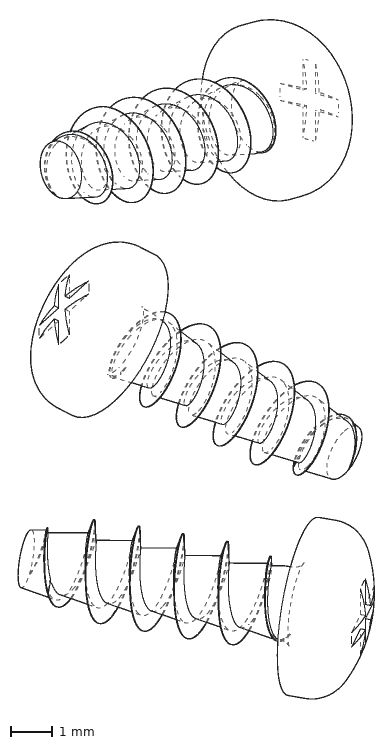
import cadquery as cq
import math


head_radius = 2.2
head_height = 1.682
rim_height = 0.47
rim_edge_radius = 0.04
shoulder_radius = 0.88
dome_radius = 3.73

slot_width = 0.43
slot_depth = 0.14

shank_length = 7.0
neck_radius = 0.9
neck_fillet = 0.4
neck_end = 0.61
core_radius = 0.69
tip_radius = 0.715
tip_cone_height = 0.02

pitch = 1.12
taper_slope = math.tan(math.radians(9.3))
taper_turns = 6
taper_sections = 3
taper_gap = 0.004
ridge_base_radius = 0.62

crest_start = 0.59
crest_radius = 1.25
crest_width = 0.02
flank_slope = math.tan(math.radians(14))
tooth_base_radius = 0.6
run_in_first_turn = -0.3
run_in_first_radius = 0.9
run_in_last_turn = 1.0
run_out_first_turn = 4.27
run_out_last_turn = 5.62
run_out_last_radius = 0.73
points_per_turn = 24


def make_head():
    """Domed head with a rounded shoulder, a straight rim and a rounded lower edge."""
    dome_center = head_height - dome_radius
    shoulder_center = head_radius - shoulder_radius
    join_angle = math.atan2(shoulder_center, rim_height - dome_center)
    join = (
        shoulder_center + shoulder_radius * math.sin(join_angle),
        rim_height + shoulder_radius * math.cos(join_angle),
    )
    shoulder_angle = (join_angle + math.pi / 2) / 2
    shoulder_middle = (
        shoulder_center + shoulder_radius * math.sin(shoulder_angle),
        rim_height + shoulder_radius * math.cos(shoulder_angle),
    )
    dome_angle = math.atan2(join[0], join[1] - dome_center) / 2
    dome_middle = (
        dome_radius * math.sin(dome_angle),
        dome_center + dome_radius * math.cos(dome_angle),
    )
    return (
        cq.Workplane("YZ")
        .lineTo(head_radius - rim_edge_radius, 0)
        .radiusArc((head_radius, rim_edge_radius), -rim_edge_radius)
        .lineTo(head_radius, rim_height)
        .threePointArc(shoulder_middle, join)
        .threePointArc(dome_middle, (0, head_height))
        .close()
        .revolve(360, (0, 0), (0, 1))
    )


def cut_cross_recess(head):
    """Cut two crossing slots into the crown of the dome."""
    floor = cq.Workplane("XY").workplane(offset=head_height - slot_depth)
    slot = floor.rect(2 * head_radius, slot_width).extrude(2 * slot_depth)
    for angle in (0, 90):
        head = head.cut(slot.rotate((0, 0, 0), (0, 0, 1), angle))
    return head


def make_core():
    """Neck with its fillet, the first taper and the plain core down to the tip."""
    taper_length = (neck_radius - core_radius) / taper_slope
    tip_rise = tip_cone_height * core_radius / tip_radius
    return (
        cq.Workplane("YZ")
        .lineTo(neck_radius + neck_fillet, 0)
        .radiusArc((neck_radius, -neck_fillet), -neck_fillet)
        .lineTo(neck_radius, -neck_end)
        .lineTo(core_radius, -neck_end - taper_length)
        .lineTo(core_radius, tip_rise - shank_length)
        .lineTo(0, -shank_length)
        .close()
        .revolve(360, (0, 0), (0, 1))
    )


def make_taper_ridge(first_turn, last_turn):
    """Helical stretch of core that narrows downward, one pitch tall."""
    tail = taper_gap - pitch
    top_radius = tip_radius - taper_slope * tail
    profile = [
        (ridge_base_radius, 0),
        (top_radius, 0),
        (tip_radius, tail),
        (ridge_base_radius, tail),
    ]
    height = pitch * (last_turn - first_turn)
    helix = cq.Workplane(obj=cq.Wire.makeHelix(pitch, height, tip_radius))
    ridge = cq.Workplane("XZ").polyline(profile).close().sweep(helix, isFrenet=True)
    ridge = ridge.rotate((0, 0, 0), (0, 0, 1), -360 * last_turn)
    return ridge.translate((0, 0, -crest_start - pitch * last_turn))


def make_tip_envelope():
    """Outer limit of the tapered core: a cylinder, the core taper and the flat tip cone."""
    taper_length = (crest_radius - tip_radius) / taper_slope
    return (
        cq.Workplane("YZ")
        .moveTo(0, -neck_end)
        .lineTo(crest_radius, -neck_end)
        .lineTo(crest_radius, taper_length - shank_length)
        .lineTo(tip_radius, tip_cone_height - shank_length)
        .lineTo(0, -shank_length)
        .close()
        .revolve(360, (0, 0), (0, 1))
    )


def add_core_taper(body):
    """Join the helical core taper to the body in sections, from the neck down."""
    envelope = make_tip_envelope()
    section_turns = taper_turns / taper_sections
    for index in range(taper_sections):
        ridge = make_taper_ridge(index * section_turns, (index + 1) * section_turns)
        body = body.union(ridge.intersect(envelope), clean=False)
    return body


def make_tooth(first_turn, first_radius, last_turn, last_radius):
    """Stretch of thread tooth whose crest runs evenly from one radius to the other."""

    def helix_edge(on_crest, side):
        def point(fraction):
            turn = first_turn + fraction * (last_turn - first_turn)
            crest = first_radius + fraction * (last_radius - first_radius)
            radius = crest if on_crest else tooth_base_radius
            half_width = crest_width / 2 + flank_slope * (crest - radius)
            angle = -2 * math.pi * turn
            height = -crest_start - pitch * turn + side * half_width
            return (radius * math.cos(angle), radius * math.sin(angle), height)

        count = math.ceil(points_per_turn * (last_turn - first_turn))
        return cq.Edge.makeSpline([cq.Vector(*point(i / count)) for i in range(count + 1)])

    edges = [
        helix_edge(False, 1),
        helix_edge(True, 1),
        helix_edge(True, -1),
        helix_edge(False, -1),
    ]
    faces = [cq.Face.makeRuledSurface(edges[i - 1], edges[i]) for i in range(len(edges))]
    for at_end in (0, 1):
        corners = [edge.positionAt(at_end) for edge in edges]
        faces.append(cq.Face.makeFromWires(cq.Wire.makePolygon(corners, close=True)))
    tooth = cq.Solid.makeSolid(cq.Shell.makeShell(faces))
    return cq.Workplane(obj=tooth.fix())


def add_thread(body):
    """Join the rising run-in, the full thread and the fading run-out to the body."""
    stations = [
        (run_in_first_turn, run_in_first_radius),
        (run_in_last_turn, crest_radius),
        (run_out_first_turn, crest_radius),
        (run_out_last_turn, run_out_last_radius),
    ]
    for upper, lower in zip(stations, stations[1:]):
        body = body.union(make_tooth(*upper, *lower), clean=False)
    return body


shank = add_thread(add_core_taper(make_core()))
head = cut_cross_recess(make_head())
screw = head.union(shank, clean=False)
result = screw.rotate((0, 0, 0), (1, 0, 0), -90)